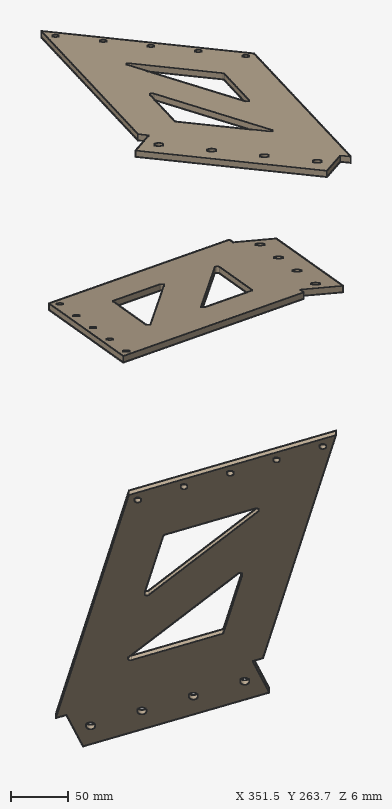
import cadquery as cq

thickness = 6.0
overall_length = 351.5
overall_depth = 263.7
plate_width = 195.0
shear = overall_length - plate_width

tab_depth = 40.0
tab_inset = 10.0
tab_left = shear + tab_inset
tab_right = overall_length - tab_inset
edge_run = shear / (overall_depth - tab_depth)

upper_hole_diameter = 6.0
upper_hole_count = 5
upper_hole_pitch = 43.5
upper_hole_start = 15.8
upper_hole_edge = 8.5
tab_hole_diameter = 8.0
tab_hole_count = 4
tab_hole_end = 15.0
tab_hole_edge = 20.5
tab_hole_pitch = (tab_right - tab_left - 2 * tab_hole_end) / (tab_hole_count - 1)

window_corner_x = 184.2
window_top = 208.0
window_width = 96.5
window_depth = 64.7
window_radius = 2.0
window_center = (181.25, 144.0)


def make_plate():
    outline = [
        (0, overall_depth),
        (plate_width, overall_depth),
        (overall_length, tab_depth),
        (tab_right, tab_depth),
        (tab_right, 0),
        (tab_left, 0),
        (tab_left, tab_depth),
        (shear, tab_depth),
    ]
    return cq.Workplane("XY").polyline(outline).close().extrude(thickness)


def hole_row(start_x, y, pitch, count, diameter):
    centers = [(start_x + i * pitch, y) for i in range(count)]
    return cq.Workplane("XY").pushPoints(centers).circle(diameter / 2).extrude(thickness)


def make_window():
    """Triangle with one side parallel to the slanted plate edges and rounded corners."""
    corners = [
        (window_corner_x - window_width, window_top),
        (window_corner_x, window_top),
        (window_corner_x + window_depth * edge_run, window_top - window_depth),
    ]
    triangle = cq.Workplane("XY").polyline(corners).close().extrude(thickness)
    return triangle.edges("|Z").fillet(window_radius)


upper_holes = hole_row(
    upper_hole_start,
    overall_depth - upper_hole_edge,
    upper_hole_pitch,
    upper_hole_count,
    upper_hole_diameter,
)
tab_holes = hole_row(
    tab_left + tab_hole_end,
    tab_hole_edge,
    tab_hole_pitch,
    tab_hole_count,
    tab_hole_diameter,
)
upper_window = make_window()
lower_window = upper_window.rotate((*window_center, 0), (*window_center, 1), 180)

result = make_plate()
for opening in (upper_holes, tab_holes, upper_window, lower_window):
    result = result.cut(opening)